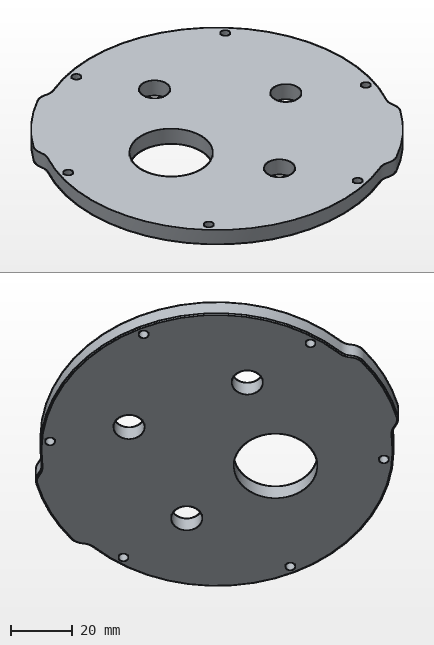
import cadquery as cq
import math

plate_diameter = 114.2
thickness = 6.0
bottom_chamfer = 0.5

lug_diameter = 120.1
lug_direction = 45.0
lug_flank_distance = 56.2
lug_flank_half_width = 16.3
lug_flank_taper = 36.0
lug_root_distance = 45.7
lug_blend_radius = 5.3

rim_hole_diameter = 3.2
rim_hole_circle_radius = 54.0
rim_hole_count = 6
rim_hole_start_angle = 15.0
inner_hole_diameter = 10.0
inner_hole_offset = 30.0
large_hole_diameter = 27.0
large_hole_offset = 20.0


def lug_half_width(distance):
    """Half width of the tapered lug at a distance from the plate centre."""
    taper = math.tan(math.radians(lug_flank_taper))
    return lug_flank_half_width - (distance - lug_flank_distance) * taper


def make_lugs():
    """Both lugs and the web joining them, trimmed to the lug circle."""
    tip = lug_diameter / 2 + 1.1
    tip_half_width = lug_half_width(tip)
    root_half_width = lug_half_width(lug_root_distance)
    outline = [
        (tip, -tip_half_width),
        (tip, tip_half_width),
        (lug_root_distance, root_half_width),
        (-lug_root_distance, root_half_width),
        (-tip, tip_half_width),
        (-tip, -tip_half_width),
        (-lug_root_distance, -root_half_width),
        (lug_root_distance, -root_half_width),
    ]
    wedge = cq.Workplane("XY").polyline(outline).close().extrude(thickness)
    wedge = wedge.rotate((0, 0, 0), (0, 0, 1), lug_direction)
    lug_disc = cq.Workplane("XY").circle(lug_diameter / 2).extrude(thickness)
    return lug_disc.intersect(wedge)


def is_lug_corner(edge):
    """Lug corners lie in the +X+Y and -X-Y quadrants, clear of the axes."""
    centre = edge.Center()
    return centre.x * centre.y > 1.303


def make_plate():
    """Disc with blended lugs and a chamfered bottom edge."""
    disc = cq.Workplane("XY").circle(plate_diameter / 2).extrude(thickness)
    plate = disc.union(make_lugs())
    plate = plate.edges("|Z").filter(is_lug_corner).fillet(lug_blend_radius)
    return plate.faces("<Z").edges().chamfer(bottom_chamfer)


def drill(plate, diameter, centres):
    """Cut through holes of one diameter at the given centres."""
    holes = cq.Workplane("XY").pushPoints(centres).circle(diameter / 2).extrude(thickness)
    return plate.cut(holes)


rim_centres = []
for index in range(rim_hole_count):
    angle = math.radians(rim_hole_start_angle + index * 360.0 / rim_hole_count)
    rim_centres.append(
        (rim_hole_circle_radius * math.cos(angle), rim_hole_circle_radius * math.sin(angle))
    )
inner_centres = [(-inner_hole_offset, 0), (0, inner_hole_offset), (inner_hole_offset, 0)]

result = make_plate()
result = drill(result, rim_hole_diameter, rim_centres)
result = drill(result, inner_hole_diameter, inner_centres)
result = drill(result, large_hole_diameter, [(0, -large_hole_offset)])